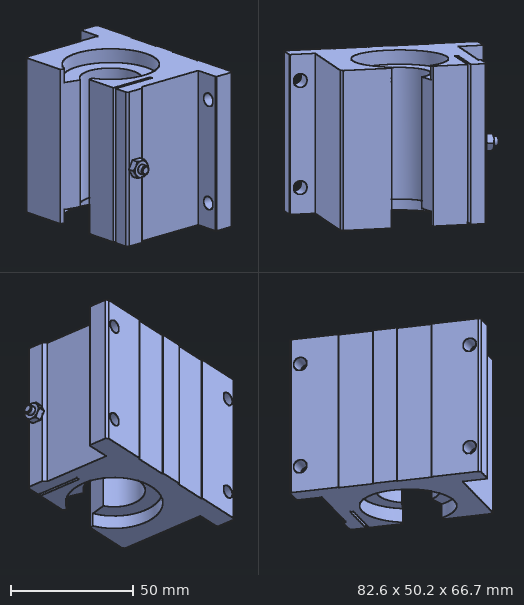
import cadquery as cq
import math

length = 66.7
flange_width = 82.55
back_y = 30.2
front_y = -20.0
flange_thickness = 9.5
flange_back_chamfer = 1.0
flange_front_chamfer = 0.4
body_half_width = 30.4
body_chamfer = 1.1

relief_depth = 0.5
relief_inner_x = 5.2
relief_outer_x = 20.15

bore_radius = 12.7
counterbore_radius = 19.9
counterbore_depth = 7.2
mouth_half_width = 8.8
mouth_side_angle = 15.0

slit_inner_x = 23.45
slit_width = 1.3
slit_end_y = 0.5
strip_height = 1.5
strip_start_y = -10.4

hole_diameter = 5.6
hole_spacing_x = 73.1
hole_spacing_z = 44.6

screw_y = -15.0
nut_across_flats = 7.2
nut_thickness = 3.2
nut_chamfer_height = 0.5
stud_radius = 2.0
stud_length = 2.6
stud_chamfer = 0.4

flange_half_width = flange_width / 2
flange_front_y = back_y - flange_thickness
strip_x = body_half_width + strip_height


def block(x_min, x_max, y_min, y_max):
    """Full-length rectangular block between the given X and Y limits."""
    return cq.Workplane("XY").box(x_max - x_min, y_max - y_min, length).translate(
        ((x_min + x_max) / 2, (y_min + y_max) / 2, 0)
    )


def flange():
    plate = block(-flange_half_width, flange_half_width, flange_front_y, back_y)
    plate = plate.edges("|Z and >Y").chamfer(flange_back_chamfer)
    return plate.edges("|Z and <Y").chamfer(flange_front_chamfer)


def body():
    """Block below the flange, with a raised strip along the clamping side."""
    outline = [
        (-body_half_width, flange_front_y),
        (-body_half_width, front_y + body_chamfer),
        (-body_half_width + body_chamfer, front_y),
        (strip_x - body_chamfer, front_y),
        (strip_x, front_y + body_chamfer),
        (strip_x, strip_start_y - strip_height),
        (body_half_width, strip_start_y),
        (body_half_width, flange_front_y),
    ]
    return cq.Workplane("XY").polyline(outline).close().extrude(length / 2, both=True)


def bore():
    """Through bore with an equal counterbore at each end."""
    cutter = cq.Workplane("XY").circle(bore_radius).extrude(length / 2, both=True)
    for end_z, direction in ((length / 2, -0.8), (-length / 2, 0.8)):
        recess = cq.Workplane("XY", origin=(0, 0, end_z)).circle(counterbore_radius)
        cutter = cutter.union(recess.extrude(direction * counterbore_depth))
    return cutter


def mouth():
    """Opening from the front face into the bore, narrowing toward the bore axis."""
    inner_half_width = mouth_half_width + front_y * math.tan(math.radians(mouth_side_angle))
    outline = [
        (-mouth_half_width, front_y),
        (mouth_half_width, front_y),
        (inner_half_width, 0),
        (-inner_half_width, 0),
    ]
    return cq.Workplane("XY").polyline(outline).close().extrude(length / 2, both=True)


def mounting_holes():
    return (
        cq.Workplane("XZ", origin=(0, back_y, 0))
        .rect(hole_spacing_x, hole_spacing_z, forConstruction=True)
        .vertices()
        .circle(hole_diameter / 2)
        .extrude(flange_thickness)
    )


def make_housing():
    housing = flange().union(body())
    housing = housing.cut(bore()).cut(mouth()).cut(mounting_holes())
    housing = housing.cut(block(slit_inner_x, slit_inner_x + slit_width, front_y, slit_end_y))
    for x_min, x_max in ((-relief_outer_x, -relief_inner_x), (relief_inner_x, relief_outer_x)):
        housing = housing.cut(block(x_min, x_max, back_y - relief_depth, back_y))
    return housing


def make_clamp_screw():
    """Hex nut and projecting stud, seated on the raised strip, axis along X."""
    seat = cq.Workplane("YZ", origin=(strip_x, screw_y, 0))
    corner_radius = nut_across_flats / math.sqrt(3)
    nut = seat.polygon(6, 2 * corner_radius).extrude(nut_thickness)

    bevel_width = corner_radius - nut_across_flats / 2
    envelope = seat.circle(corner_radius).extrude(nut_thickness)
    envelope = envelope.faces(">X").chamfer(nut_chamfer_height, bevel_width)
    nut = nut.intersect(envelope)

    stud = seat.circle(stud_radius).extrude(nut_thickness + stud_length)
    stud = stud.faces(">X").chamfer(stud_chamfer)
    return nut.union(stud)


housing = make_housing()
clamp_screw = make_clamp_screw()
result = cq.Compound.makeCompound([housing.val(), clamp_screw.val()])